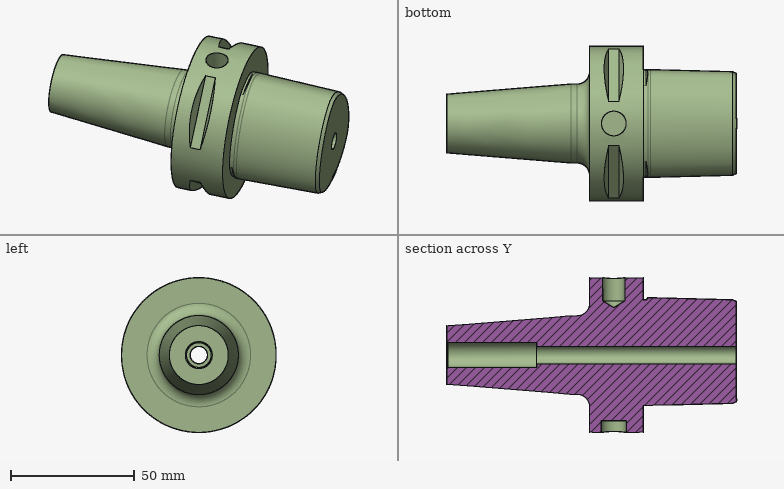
import cadquery as cq
import math

nose_cone_end_x = 50.6
nose_fillet_radius = 5.0
flange_front_x = 58.0
flange_rear_x = 80.0
relief_end_x = 81.8
taper_start_x = 83.0
taper_end_x = 116.2
rear_face_x = 117.8
overall_length = 118.0

nose_tip_diameter = 24.0
nose_root_diameter = 32.2
flange_diameter = 63.0
flange_radius = flange_diameter / 2

shank_mean_radius = 22.0
lobe_height = 1.4
taper_ratio = 1 / 40
rear_chamfer_height = 0.7
lobe_direction = 90.0
curve_step = 10
relief_radius = 22.5
relief_land = 1.1
relief_outer_radius = shank_mean_radius + lobe_height

tool_bore_diameter = 10.0
tool_bore_mouth_diameter = 11.0
tool_bore_depth = 36.6
through_bore_diameter = 7.0

groove_x = 68.0
groove_floor_width = 4.1
groove_mouth_width = 7.9
groove_floor_distance = 27.7
groove_angles = (45, 135, 225, 315)
index_hole_diameter = 9.0
index_hole_depth = 9.4
drill_point_angle = 118.0
pocket_diameter = 10.0
pocket_depth = 4.7

tab_width = 4.0
tab_height = 0.6
tab_z = -18.2


def polygon_point(mean_radius, angle):
    """Return (y, z) on a constant-width three-lobed curve, from its support function."""
    lobe_angle = 3 * (angle - math.radians(lobe_direction))
    support = mean_radius + lobe_height * math.cos(lobe_angle)
    slope = -3 * lobe_height * math.sin(lobe_angle)
    y = support * math.cos(angle) - slope * math.sin(angle)
    z = support * math.sin(angle) + slope * math.cos(angle)
    return y, z


def polygon_wire(x, mean_radius):
    angles = [math.radians(a) for a in range(0, 360, curve_step)]
    points = [polygon_point(mean_radius, a) for a in angles]
    return cq.Workplane("YZ", origin=(x, 0, 0)).spline(points, periodic=True).close().val()


def shank_section(start_x, start_radius, end_x, end_radius):
    wires = [polygon_wire(start_x, start_radius), polygon_wire(end_x, end_radius)]
    return cq.Workplane(cq.Solid.makeLoft(wires, True))


def revolve_about_x(profile):
    return profile.close().revolve(360, (0, 0, 0), (1, 0, 0))


def cylinder_along_x(diameter, start_x, end_x):
    return cq.Workplane("YZ", origin=(start_x, 0, 0)).circle(diameter / 2).extrude(end_x - start_x)


def make_nose_and_flange():
    root_radius = nose_root_diameter / 2
    fillet_start_x = flange_front_x - nose_fillet_radius
    fillet_top = root_radius + nose_fillet_radius
    diagonal = nose_fillet_radius * math.sqrt(0.5)
    fillet_middle = (fillet_start_x + diagonal, fillet_top - diagonal)
    profile = (
        cq.Workplane("XY")
        .lineTo(0, nose_tip_diameter / 2)
        .lineTo(nose_cone_end_x, root_radius)
        .lineTo(fillet_start_x, root_radius)
        .threePointArc(fillet_middle, (flange_front_x, fillet_top))
        .lineTo(flange_front_x, flange_radius)
        .lineTo(flange_rear_x, flange_radius)
        .lineTo(flange_rear_x, 0)
    )
    return revolve_about_x(profile)


def make_shank():
    taper_end_radius = shank_mean_radius - taper_ratio * (taper_end_x - taper_start_x)
    rear_radius = taper_end_radius - rear_chamfer_height
    neck = shank_section(flange_rear_x, shank_mean_radius, relief_end_x, shank_mean_radius)
    relief = revolve_about_x(
        cq.Workplane("XY")
        .moveTo(flange_rear_x, relief_radius)
        .lineTo(flange_rear_x + relief_land, relief_radius)
        .lineTo(relief_end_x, relief_outer_radius)
        .lineTo(relief_end_x, flange_radius)
        .lineTo(flange_rear_x, flange_radius)
    )
    land = shank_section(relief_end_x, shank_mean_radius, taper_start_x, shank_mean_radius)
    taper = shank_section(taper_start_x, shank_mean_radius, taper_end_x, taper_end_radius)
    rear_chamfer = shank_section(taper_end_x, taper_end_radius, rear_face_x, rear_radius)
    return neck.cut(relief).union(land).union(taper).union(rear_chamfer)


def make_tab():
    tab_length = overall_length - taper_end_x
    tab_center_x = taper_end_x + tab_length / 2
    return cq.Workplane("XY").box(tab_length, tab_width, tab_height).translate((tab_center_x, 0, tab_z))


def make_bore():
    mouth_chamfer = (tool_bore_mouth_diameter - tool_bore_diameter) / 2
    mouth = revolve_about_x(
        cq.Workplane("XY")
        .lineTo(0, tool_bore_mouth_diameter / 2)
        .lineTo(mouth_chamfer, tool_bore_diameter / 2)
        .lineTo(mouth_chamfer, 0)
    )
    tool_bore = cylinder_along_x(tool_bore_diameter, 0, tool_bore_depth)
    through_bore = cylinder_along_x(through_bore_diameter, 0, overall_length)
    return tool_bore.union(through_bore).union(mouth)


def make_groove(angle):
    """Trapezoidal groove running tangentially across the flange rim."""
    depth = flange_radius - groove_floor_distance
    side_slope = (groove_mouth_width - groove_floor_width) / 2 / depth
    top = flange_radius + depth
    top_half_width = groove_mouth_width / 2 + side_slope * depth
    half_floor = groove_floor_width / 2
    outline = [
        (groove_x - half_floor, groove_floor_distance),
        (groove_x + half_floor, groove_floor_distance),
        (groove_x + top_half_width, top),
        (groove_x - top_half_width, top),
    ]
    cutter = cq.Workplane("XZ").polyline(outline).close().extrude(flange_radius, both=True)
    return cutter.rotate((0, 0, 0), (1, 0, 0), angle)


def make_index_hole():
    """Drilled hole with a conical bottom in the +Z side of the flange."""
    radius = index_hole_diameter / 2
    shoulder_z = flange_radius - index_hole_depth
    point_z = shoulder_z - radius / math.tan(math.radians(drill_point_angle / 2))
    outline = [(0, point_z), (radius, shoulder_z), (radius, flange_radius), (0, flange_radius)]
    drill = cq.Workplane("XZ").polyline(outline).close().revolve(360, (0, 0, 0), (0, 1, 0))
    return drill.translate((groove_x, 0, 0))


def make_pocket():
    """Flat-bottomed round pocket in the -Z side of the flange."""
    plane = cq.Workplane("XY", origin=(groove_x, 0, -flange_radius))
    return plane.circle(pocket_diameter / 2).extrude(pocket_depth)


body = make_nose_and_flange().union(make_shank()).union(make_tab())
body = body.cut(make_bore())
for groove_angle in groove_angles:
    body = body.cut(make_groove(groove_angle))
result = body.cut(make_index_hole()).cut(make_pocket())